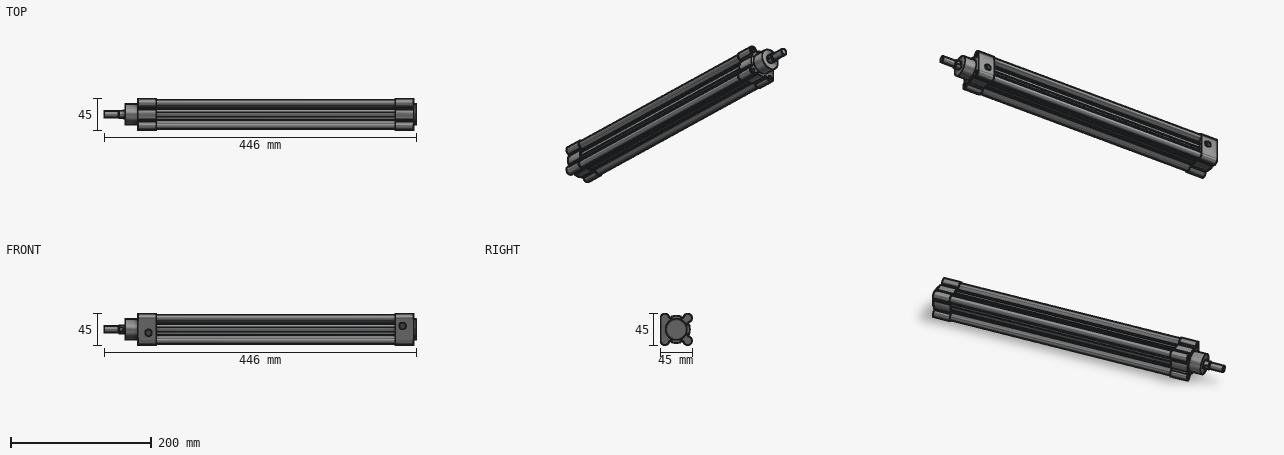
import cadquery as cq
import math

TOTAL_LENGTH = 446.0
THREAD_LENGTH = 22.0
FRONT_COLLAR_START = 30.0
HEAD_START = 48.0
CAP_LENGTH = 26.0
REAR_COLLAR_LENGTH = 4.0
HEAD_END = HEAD_START + CAP_LENGTH
REAR_CAP_END = TOTAL_LENGTH - REAR_COLLAR_LENGTH
REAR_CAP_START = REAR_CAP_END - CAP_LENGTH

CAP_WIDTH = 45.0
HALF_WIDTH = CAP_WIDTH / 2
CAP_LOBE_RADIUS = 6.2
LOBE_OFFSET = HALF_WIDTH - CAP_LOBE_RADIUS
CAP_RIDGE_WIDTH = 13.5
CAP_RIDGE_RADIUS = 19.5
HEAD_FLOOR = 16.5
HEAD_WEB_WIDTH = 11.5
REAR_CAP_FLOOR = 15.0
REAR_CAP_WEB_WIDTH = 10.5
COLLAR_RADIUS = 15.0
REAR_COLLAR_FILLET = 1.5

BARREL_LOBE_RADIUS = 5.0
BARREL_WEB_WIDTH = 2 * BARREL_LOBE_RADIUS
BARREL_FLOOR = 15.5
BARREL_RIDGE_RADIUS = 18.5
BARREL_RIDGE_WIDTH = 14.5
SLOT_WIDTH = 6.5
SLOT_FLOOR_RADIUS = 17.0

SCREW_HOLE_RADIUS = 2.0
SCREW_HOLE_DEPTH = 13.5
COUNTERBORE_RADIUS = 3.0
COUNTERBORE_DEPTH = 4.5
PORT_RADIUS = 5.0
PORT_DEPTH = 9.0
PORT_RISE = 5.0
FRONT_PORT_X = 63.5
REAR_PORT_X = 426.5

ROD_DIAMETER = 12.0
ROD_RADIUS = ROD_DIAMETER / 2
THREAD_RADIUS = 5.0
TIP_CHAMFER = 0.5
NECK_DEPTH = 0.2
NECK_LENGTH = 2.0
FLATS_WIDTH = 10.5
FLATS_LENGTH = 5.5
FLATS_RUNOUT = 1.0

QUARTER_TURNS = (0, 90, 180, 270)


def cylinder(x_start, x_end, radius):
    """Round bar on the X axis."""
    return cq.Workplane("YZ").workplane(offset=x_start).circle(radius).extrude(x_end - x_start)


def bar(x_start, x_end, y_range, z_range):
    """Rectangular bar between two X stations."""
    size = (x_end - x_start, y_range[1] - y_range[0], z_range[1] - z_range[0])
    corner = (x_start, y_range[0], z_range[0])
    return cq.Workplane("XY").box(*size, centered=False).translate(corner)


def turned(shape, angle):
    """Rotate a shape about the X axis."""
    return shape.rotate((0, 0, 0), (1, 0, 0), angle)


def arched_strip(x_start, x_end, width, radius):
    """Bar reaching from the axis toward +Y, ending in an arc about the axis."""
    strip = bar(x_start, x_end, (0, radius), (-width / 2, width / 2))
    return strip.intersect(cylinder(x_start, x_end, radius))


def lobed_section(x_start, x_end, lobe_radius, web_width, floor):
    """Core with a flat valley floor on each side and four round corner lobes on diagonal webs."""
    diagonal = LOBE_OFFSET * math.sqrt(2)
    half_web = web_width / 2
    edge = floor - half_web * math.sqrt(2)
    outline = [
        (floor, -edge), (floor, edge), (edge, floor), (-edge, floor),
        (-floor, edge), (-floor, -edge), (-edge, -floor), (edge, -floor),
    ]
    plane = cq.Workplane("YZ").workplane(offset=x_start)
    body = plane.polyline(outline).close().extrude(x_end - x_start)
    for angle in QUARTER_TURNS:
        web = bar(x_start, x_end, (0, diagonal), (-half_web, half_web))
        lobe = cylinder(x_start, x_end, lobe_radius).translate((0, diagonal, 0))
        body = body.union(turned(web.union(lobe), angle + 45))
    return body


def cap_block(x_start, x_end, web_width, floor, port_x, port_z):
    """End cap block with arched ridges, a flat port face on -Y and one blind port."""
    block = lobed_section(x_start, x_end, CAP_LOBE_RADIUS, web_width, floor)
    for angle in QUARTER_TURNS:
        ridge = arched_strip(x_start, x_end, CAP_RIDGE_WIDTH, CAP_RIDGE_RADIUS)
        block = block.union(turned(ridge, angle))
    port_face = bar(x_start, x_end, (-HALF_WIDTH, -LOBE_OFFSET / 2), (-LOBE_OFFSET, LOBE_OFFSET))
    port = cq.Workplane("XZ", origin=(port_x, -HALF_WIDTH, port_z)).circle(PORT_RADIUS).extrude(-PORT_DEPTH)
    return block.union(port_face).cut(port)


def make_head():
    head = cap_block(HEAD_START, HEAD_END, HEAD_WEB_WIDTH, HEAD_FLOOR, FRONT_PORT_X, -PORT_RISE)
    head = head.union(cylinder(FRONT_COLLAR_START, HEAD_START, COLLAR_RADIUS))
    hole = cylinder(HEAD_START, HEAD_START + SCREW_HOLE_DEPTH, SCREW_HOLE_RADIUS)
    counterbore = cylinder(HEAD_START, HEAD_START + COUNTERBORE_DEPTH, COUNTERBORE_RADIUS)
    hole = hole.union(counterbore)
    for y in (-LOBE_OFFSET, LOBE_OFFSET):
        for z in (-LOBE_OFFSET, LOBE_OFFSET):
            head = head.cut(hole.translate((0, y, z)))
    return head.cut(cylinder(FRONT_COLLAR_START, HEAD_END, ROD_RADIUS))


def make_rear_cap():
    cap = cap_block(
        REAR_CAP_START, REAR_CAP_END, REAR_CAP_WEB_WIDTH, REAR_CAP_FLOOR, REAR_PORT_X, PORT_RISE,
    )
    collar = cylinder(REAR_CAP_END, TOTAL_LENGTH, COLLAR_RADIUS)
    collar = collar.faces(">X").edges().fillet(REAR_COLLAR_FILLET)
    return cap.union(collar)


def make_barrel():
    """Barrel with an arched ridge on each side, each ridge split by a slot."""
    span = (HEAD_END, REAR_CAP_START)
    barrel = lobed_section(*span, BARREL_LOBE_RADIUS, BARREL_WEB_WIDTH, BARREL_FLOOR)
    half_slot = SLOT_WIDTH / 2
    for angle in QUARTER_TURNS:
        ridge = arched_strip(*span, BARREL_RIDGE_WIDTH, BARREL_RIDGE_RADIUS)
        slot = bar(*span, (0, HALF_WIDTH), (-half_slot, half_slot))
        slot = slot.cut(cylinder(*span, SLOT_FLOOR_RADIUS))
        barrel = barrel.union(turned(ridge, angle)).cut(turned(slot, angle))
    return barrel


def make_rod():
    """Rod with a threaded tip, a relief neck and two wrench flats; it ends at the barrel face."""
    neck_start = THREAD_LENGTH - NECK_LENGTH
    rod = cylinder(0, neck_start, THREAD_RADIUS).faces("<X").chamfer(TIP_CHAMFER)
    rod = rod.union(cylinder(neck_start, THREAD_LENGTH, THREAD_RADIUS - NECK_DEPTH))
    rod = rod.union(cylinder(THREAD_LENGTH, HEAD_END, ROD_RADIUS))
    flat = FLATS_WIDTH / 2
    flats_end = THREAD_LENGTH + FLATS_LENGTH
    outline = [
        (THREAD_LENGTH, flat), (flats_end, flat),
        (flats_end + FLATS_RUNOUT, ROD_RADIUS), (THREAD_LENGTH, ROD_RADIUS),
    ]
    cutter = cq.Workplane("XY").polyline(outline).close().extrude(ROD_RADIUS, both=True)
    for angle in (0, 180):
        rod = rod.cut(turned(cutter, angle))
    return rod


rod = make_rod()
head = make_head()
barrel = make_barrel()
rear_cap = make_rear_cap()

result = cq.Compound.makeCompound([rod.val(), head.val(), barrel.val(), rear_cap.val()])